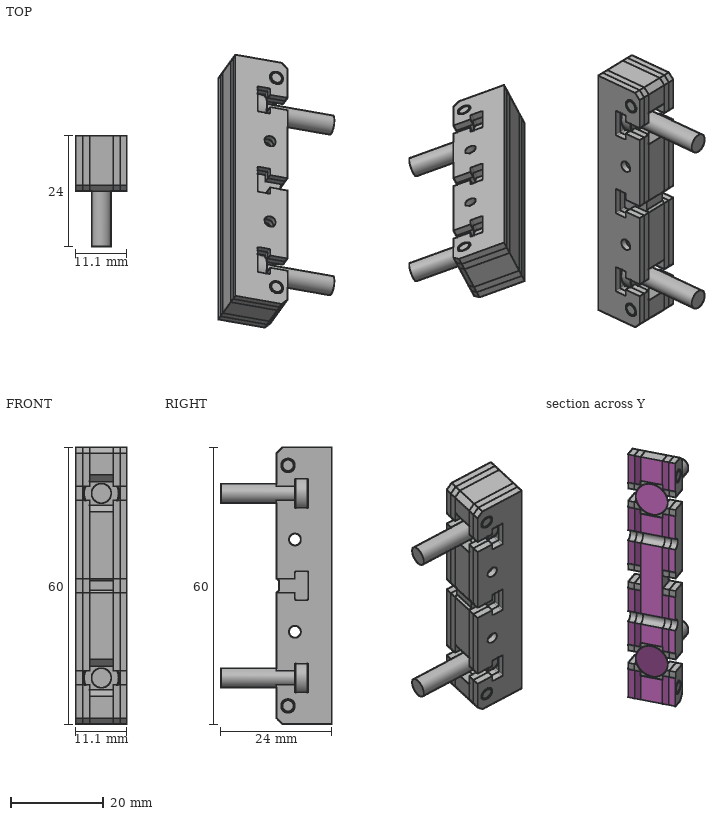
import cadquery as cq

length = 60.0
depth = 12.0
edge_chamfer = 1.3

width = 11.1
plate_thickness = 1.5
core_width = width - 4 * plate_thickness

slot_pitch = 20.0
slot_levels = (-slot_pitch, 0.0, slot_pitch)
neck_height = 3.05
neck_depth = 4.0
head_slot_height = 6.25
head_slot_depth = 2.9
head_slot_fillet = 0.3

screw_levels = (-slot_pitch, slot_pitch)
shank_diameter = 4.25
shank_reach = 12.0
screw_head_diameter = 7.8
screw_head_chamfer = 0.2

core_neck_height = 5.05
flare_depth = 1.5
core_pocket_height = 8.05

groove_depth = 0.55
groove_flank_height = 0.5

cross_hole_levels = (-slot_pitch / 2, slot_pitch / 2)
cross_hole_diameter = 2.5
cross_hole_inset = 4.0

pin_diameter = 3.0
pin_chamfer = 0.3
pin_inset = 2.5
pin_end_distance = 3.95
pin_level = length / 2 - pin_end_distance
pin_levels = (-pin_level, pin_level)


def bar(x_start, x_end, y_start, y_end, height, level=0.0):
    """Box given by its X and Y ranges, with its height centred on a Z level."""
    box = cq.Workplane("XY").box(x_end - x_start, y_end - y_start, height)
    return box.translate(((x_start + x_end) / 2, (y_start + y_end) / 2, level))


def cross_cylinder(diameter, inset, level):
    """Cylinder along X through the full width, set back from the front face."""
    workplane = cq.Workplane("YZ", origin=(-width / 2, inset, level))
    return workplane.circle(diameter / 2).extrude(width)


def layer_blank(x_start, x_end):
    """Layer with chamfered front ends, cross holes and pin holes."""
    layer = bar(x_start, x_end, 0, depth, length)
    layer = layer.faces("<Y").edges("|X").chamfer(edge_chamfer)
    for level in cross_hole_levels:
        layer = layer.cut(cross_cylinder(cross_hole_diameter, cross_hole_inset, level))
    for level in pin_levels:
        layer = layer.cut(cross_cylinder(pin_diameter, pin_inset, level))
    return layer


def t_slot(x_start, x_end, level):
    """T-shaped cutter: narrow neck open to the front, wide rounded head behind it."""
    head = bar(x_start, x_end, neck_depth, neck_depth + head_slot_depth, head_slot_height, level)
    head = head.edges("|X").fillet(head_slot_fillet)
    neck = bar(x_start, x_end, 0, neck_depth + head_slot_depth / 2, neck_height, level)
    return head.union(neck)


def make_plate(x_start):
    """Plate with the three T-slots; outer and inner plates share this shape."""
    x_end = x_start + plate_thickness
    plate = layer_blank(x_start, x_end)
    for level in slot_levels:
        plate = plate.cut(t_slot(x_start, x_end, level))
    return plate


def flared_groove(mouth_height, floor_height, floor_depth):
    """Trapezoidal cutter across the front of the core."""
    return (
        cq.Workplane("YZ", origin=(-core_width / 2, 0, 0))
        .moveTo(0, -mouth_height / 2)
        .lineTo(floor_depth, -floor_height / 2)
        .lineTo(floor_depth, floor_height / 2)
        .lineTo(0, mouth_height / 2)
        .close()
        .extrude(core_width)
    )


def screw_opening(level):
    """Cutter for one screw: flared mouth, neck and pocket for the head."""
    x_start = -core_width / 2
    x_end = core_width / 2
    mouth_height = core_neck_height + 2 * flare_depth
    flare = flared_groove(mouth_height, core_neck_height, flare_depth).translate((0, 0, level))
    neck = bar(x_start, x_end, 0, neck_depth, core_neck_height, level)
    pocket = bar(x_start, x_end, neck_depth, neck_depth + head_slot_depth, core_pocket_height, level)
    return flare.union(neck).union(pocket)


def make_core():
    core = layer_blank(-core_width / 2, core_width / 2)
    for level in screw_levels:
        core = core.cut(screw_opening(level))
    groove_floor_height = neck_height - 2 * groove_flank_height
    return core.cut(flared_groove(neck_height, groove_floor_height, groove_depth))


def make_screw(level):
    """Screw along Y: chamfered disc head inside the block, plain shank out of the front."""
    head = (
        cq.Workplane("XZ", origin=(0, neck_depth + head_slot_depth, level))
        .circle(screw_head_diameter / 2)
        .extrude(head_slot_depth)
        .edges()
        .chamfer(screw_head_chamfer)
    )
    shank = (
        cq.Workplane("XZ", origin=(0, neck_depth, level))
        .circle(shank_diameter / 2)
        .extrude(neck_depth + shank_reach)
    )
    return head.union(shank)


def make_pin(level):
    """Pin along X, flush with the outer plates and chamfered at both ends."""
    return cross_cylinder(pin_diameter, pin_inset, level).edges("%CIRCLE").chamfer(pin_chamfer)


core = make_core()
inner_plates = [make_plate(x) for x in (-core_width / 2 - plate_thickness, core_width / 2)]
outer_plates = [make_plate(x) for x in (-width / 2, width / 2 - plate_thickness)]
screws = [make_screw(level) for level in screw_levels]
pins = [make_pin(level) for level in pin_levels]

bodies = [core, *inner_plates, *outer_plates, *screws, *pins]
result = cq.Compound.makeCompound([body.val() for body in bodies])